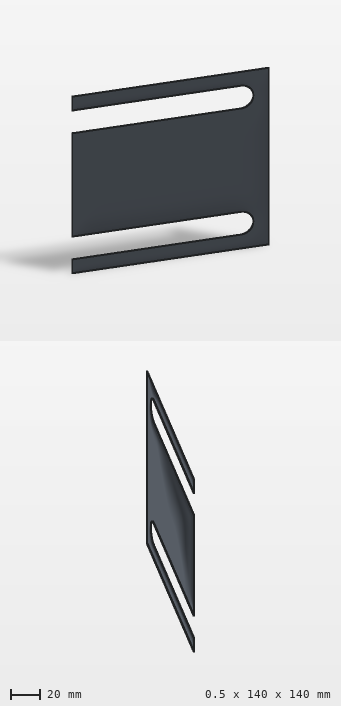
import cadquery as cq

side = 140.0
thickness = 0.5

slot_width = 18.0
slot_inset = 20.0

slot_radius = slot_width / 2
round_center_y = side / 2 - slot_inset
slot_center_z = side / 2 - slot_inset


def open_slot(center_z):
    """Cutter for one slot running from its round end out through the -Y edge."""
    open_y = -side / 2
    return (
        cq.Workplane("YZ")
        .moveTo(open_y, center_z - slot_radius)
        .lineTo(round_center_y, center_z - slot_radius)
        .threePointArc(
            (round_center_y + slot_radius, center_z),
            (round_center_y, center_z + slot_radius),
        )
        .lineTo(open_y, center_z + slot_radius)
        .close()
        .extrude(thickness, both=True)
    )


result = cq.Workplane("XY").box(thickness, side, side)
for center_z in (-slot_center_z, slot_center_z):
    result = result.cut(open_slot(center_z))